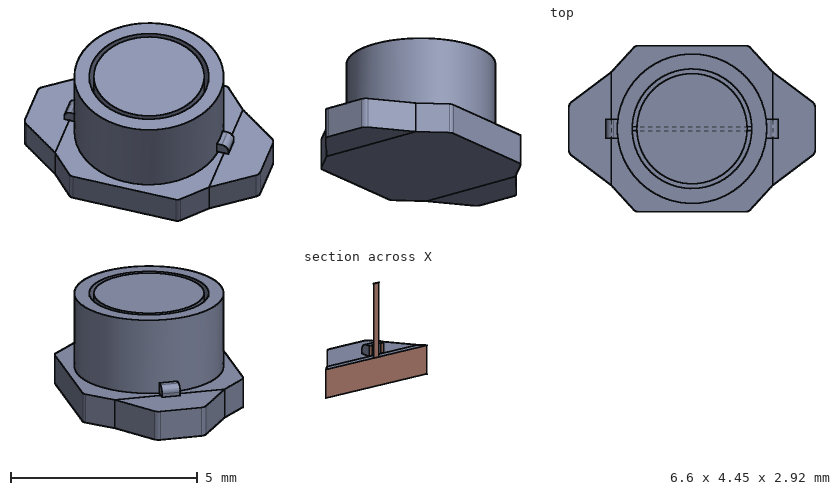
import cadquery as cq

total_length = 6.6
base_width = 4.45
total_height = 2.92
base_height = 0.82
block_half_length = 2.16
block_end_half_width = 1.52
block_flat_half_length = 1.51
lug_tip_half_width = 0.66
block_corner_radius = 0.15
lug_corner_radius = 0.2

ring_diameter = 4.0
ring_bore_diameter = 3.2
core_diameter = 2.95
ring_height = total_height - base_height

wire_diameter = 0.105
wire_height = base_height + ring_height / 2

lead_reach = 2.305
lead_width = 0.5
lead_height = 0.3
lead_round = 0.19
raised_lead_gap = 0.07


def make_block():
    """Centre of the base, with its four outer corners rounded."""
    x_end, y_end = block_half_length, block_end_half_width
    x_flat, y_flat = block_flat_half_length, base_width / 2
    outline = [
        (x_end, -y_end), (x_end, y_end), (x_flat, y_flat), (-x_flat, y_flat),
        (-x_end, y_end), (-x_end, -y_end), (-x_flat, -y_flat), (x_flat, -y_flat),
    ]
    block = cq.Workplane("XY").polyline(outline).close().extrude(base_height)
    block = block.edges("|Z and (>Y or <Y)").fillet(block_corner_radius)
    return block.val()


def make_lug(side):
    """Tapered lug on one end of the block; side is -1 or +1 along X."""
    x_root = side * block_half_length
    x_tip = side * total_length / 2
    outline = [
        (x_root, -block_end_half_width), (x_tip, -lug_tip_half_width),
        (x_tip, lug_tip_half_width), (x_root, block_end_half_width),
    ]
    lug = cq.Workplane("XY").polyline(outline).close().extrude(base_height)
    tip_edges = "|Z and >X" if side > 0 else "|Z and <X"
    return lug.edges(tip_edges).fillet(lug_corner_radius).val()


def make_cylinder(diameter):
    """Upright cylinder standing on the base, as tall as the ring."""
    return cq.Workplane("XY", origin=(0, 0, base_height)).circle(diameter / 2).extrude(ring_height)


def make_wire():
    """Straight wire along X, ending on the ring bore."""
    wire = cq.Workplane("YZ", origin=(0, 0, wire_height))
    wire = wire.circle(wire_diameter / 2).extrude(ring_bore_diameter / 2, both=True)
    return wire.intersect(make_cylinder(ring_bore_diameter))


def make_lead(side, bottom):
    """Lead with a rounded top outer edge, fitted against the ring wall."""
    lead = cq.Workplane("XY", origin=(side * lead_reach / 2, 0, bottom))
    lead = lead.box(lead_reach, lead_width, lead_height, centered=(True, True, False))
    outer_face = lead.faces(">X" if side > 0 else "<X")
    lead = outer_face.edges(">Z").fillet(lead_round)
    return lead.cut(make_cylinder(ring_diameter)).val()


block = make_block()
lugs = [make_lug(side) for side in (-1, 1)]
ring = make_cylinder(ring_diameter).cut(make_cylinder(ring_bore_diameter))
wire = make_wire()
core = make_cylinder(core_diameter).cut(wire)
leads = [make_lead(-1, base_height), make_lead(1, base_height + raised_lead_gap)]

result = cq.Compound.makeCompound([block, *lugs, ring.val(), core.val(), wire.val(), *leads])